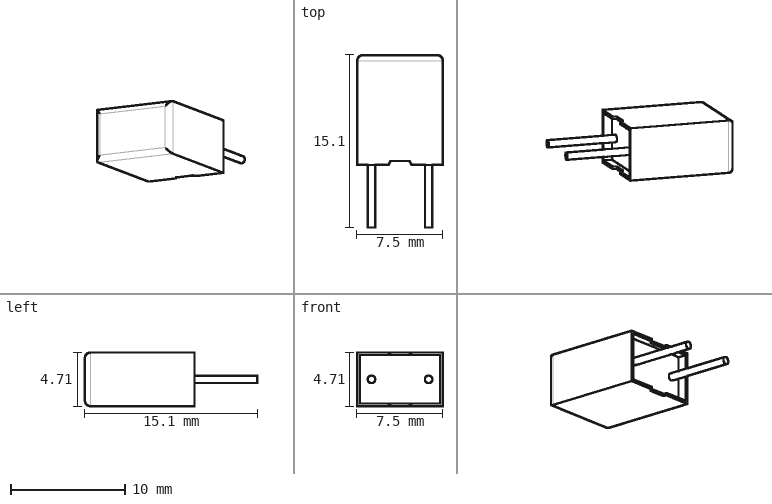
import cadquery as cq

total_length = 15.1
case_width = 7.5
case_length = 9.6
case_height = 4.71
end_fillet = 0.51

side_wall = 0.27
broad_wall = 0.23
end_wall = 0.27
potting_recess = 0.8

notch_mouth_width = 2.0
notch_floor_width = 1.65
notch_depth = 0.33

lead_diameter = 0.66
lead_pitch = 5.0

closed_end_y = total_length / 2
rim_y = closed_end_y - case_length
lead_tip_y = -total_length / 2
potting_face_y = rim_y + potting_recess
cavity_end_y = closed_end_y - end_wall
cavity_width = case_width - 2 * side_wall
cavity_height = case_height - 2 * broad_wall


def block(width, height, start_y, end_y):
    """Box centred on X and Z that runs from start_y to end_y."""
    length = end_y - start_y
    return cq.Workplane("XY").box(width, length, height).translate((0, (start_y + end_y) / 2, 0))


def make_notch_cutter():
    """Trapezoidal prism through both broad walls, narrowing away from the rim."""
    notch_floor_y = rim_y + notch_depth
    return (
        cq.Workplane("XY")
        .moveTo(-notch_mouth_width / 2, rim_y)
        .lineTo(notch_mouth_width / 2, rim_y)
        .lineTo(notch_floor_width / 2, notch_floor_y)
        .lineTo(-notch_floor_width / 2, notch_floor_y)
        .close()
        .extrude(case_height / 2, both=True)
    )


def make_case():
    """Open-ended box with a rounded closed end and a vent notch in each broad wall."""
    shell = block(case_width, case_height, rim_y, closed_end_y)
    shell = shell.faces(">Y").edges().fillet(end_fillet)
    cavity = block(cavity_width, cavity_height, rim_y, cavity_end_y)
    return shell.cut(cavity).cut(make_notch_cutter())


def make_potting():
    """Solid fill of the cavity, recessed from the open rim."""
    return block(cavity_width, cavity_height, potting_face_y, cavity_end_y)


def make_lead(x):
    """Round wire standing on the potting face."""
    lead_length = potting_face_y - lead_tip_y
    return (
        cq.Workplane("XZ", origin=(x, potting_face_y, 0))
        .circle(lead_diameter / 2)
        .extrude(lead_length)
    )


case = make_case()
potting = make_potting()
leads = [make_lead(side * lead_pitch / 2) for side in (-1, 1)]

result = cq.Compound.makeCompound([case.val(), potting.val(), *[lead.val() for lead in leads]])